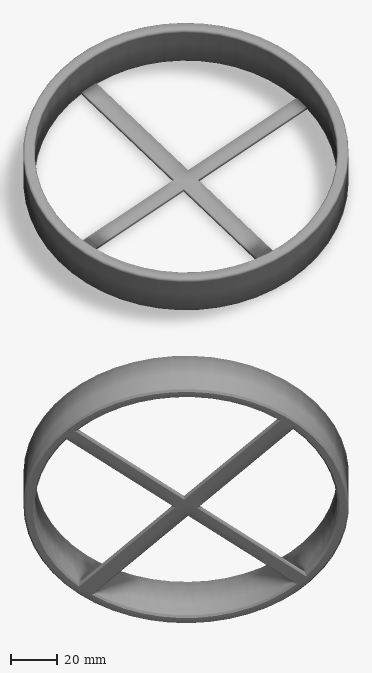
import math

import cadquery as cq

outer_diameter = 140.0
bore_diameter = 130.0
ring_height = 22.0
rounding_radius = 1.0

bevel_angle = 45
bevel_size = 0.7
blend_radius = 1.0

spoke_width_along_x = 8.4
spoke_width_along_y = 7.0
spoke_thickness = 2.0
spoke_rounding_radius = 0.5
spoke_bevel = 0.5

spoke_length = (outer_diameter + bore_diameter) / 2


def blend_inset(angle):
    """Distance from the wall at an angle in degrees along the blend arc."""
    return blend_radius * (1 - math.cos(math.radians(angle)))


def blend_height(angle):
    """Height above the base at an angle in degrees along the blend arc."""
    rise = math.sin(math.radians(bevel_angle)) - math.sin(math.radians(angle))
    return bevel_size + blend_radius * rise


def make_ring():
    """Revolved ring with bevelled feet and rounded upper edges."""
    outer_radius = outer_diameter / 2
    bore_radius = bore_diameter / 2
    bevel_top_inset = blend_inset(bevel_angle)
    base_inset = bevel_top_inset + bevel_size
    mid_angle = bevel_angle / 2
    mid_inset = blend_inset(mid_angle)
    mid_height = blend_height(mid_angle)
    blend_top = blend_height(0)

    ring = (
        cq.Workplane("XZ")
        .moveTo(bore_radius + base_inset, 0)
        .lineTo(outer_radius - base_inset, 0)
        .lineTo(outer_radius - bevel_top_inset, bevel_size)
        .threePointArc((outer_radius - mid_inset, mid_height), (outer_radius, blend_top))
        .lineTo(outer_radius, ring_height)
        .lineTo(bore_radius, ring_height)
        .lineTo(bore_radius, blend_top)
        .threePointArc((bore_radius + mid_inset, mid_height), (bore_radius + bevel_top_inset, bevel_size))
        .close()
        .revolve(360, (0, 0, 0), (0, 1, 0))
    )
    return ring.faces(">Z").edges().fillet(rounding_radius)


def make_spokes():
    """Two crossing bars with rounded upper edges and bevelled lower edges."""
    bar_x = cq.Workplane("XY").rect(spoke_length, spoke_width_along_x).extrude(spoke_thickness)
    bar_y = cq.Workplane("XY").rect(spoke_width_along_y, spoke_length).extrude(spoke_thickness)
    cross = bar_x.union(bar_y)
    cross = cross.faces(">Z").edges().fillet(spoke_rounding_radius)
    return cross.faces("<Z").edges().chamfer(spoke_bevel)


result = make_ring().union(make_spokes())